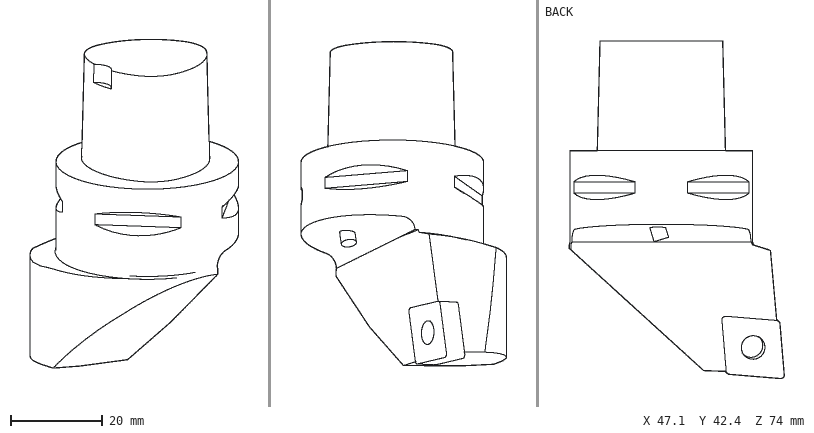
import cadquery as cq
import math


shank_length = 24.05
lobe_radius = 9.2
side_radius = 18.95
lobe_offset = (side_radius - lobe_radius) / math.sqrt(3)
taper_per_side = 1 / 40
notch_radius = 4.0
notch_depth = 4.15
notch_axis_y = -15.0

flange_radius = 40.0 / 2
flange_height = 20.05
slot_floor_radius = 17.6
slot_floor_width = 2.45
slot_mid_z = -8.1
slot_side_slope = 0.6

collar_radius = 20.2
collar_drop = 0.6
collar_mid_angle = -20.0
shoulder_slope = 0.32
back_y = 4.1
wall_y = -22.35
wall_points = {
    "collar_end": (12.6, -15.8),
    "right_mid": (5.2, -20.65),
    "front_right": (-3.25, wall_y),
    "front_left": (-9.4, wall_y),
    "corner_end": (-13.25, -21.4),
    "left_mid": (-19.7, -17.2),
    "left_end": (-25.2, -10.2),
}
head_reach = 33.3
head_bottom = -55.5

flank_points = [(-23.9, 2.75, -21.75), (-22.4, -14.05, -22.6), (-25.2, -10.2, -47.4)]
bottom_corner = flank_points[2]
inner_bottom_slopes = (0.05, -0.13)
outer_bottom_slopes = (0.04, -0.19)
chamfer_start = (20.2, 0.0, -21.4)
chamfer_slope = 0.91
rake_slope_x = 0.1
rake_slope_z = 0.09

underside_edge_z = -16.1
underside_slope = 0.08
clearance_fillet = 2.95

nozzle_diameter = 3.3
nozzle_y = 10.6
nozzle_end_z = -19.45
nozzle_length = 6.65
nozzle_tilt = 17.0

insert_tip_x = -27.0
insert_tip_z = -50.0
insert_edge = 12.9
insert_half_angle = 40.0
insert_thickness = 4.7
insert_corner_radius = 0.8
insert_hole_diameter = 5.2

cutter_size = 148.0
cutter_margin = 0.75


def half_space(point, normal):
    """Large block lying on the normal's side of a plane."""
    plane = cq.Plane(origin=point, normal=normal)
    return cq.Workplane(plane).rect(cutter_size, cutter_size).extrude(cutter_size)


def polar(radius, angle, center=(0.0, 0.0)):
    a = math.radians(angle)
    return (center[0] + radius * math.cos(a), center[1] + radius * math.sin(a))


def lobed_wire(z, inset):
    """Curve of constant width: three lobe arcs joined by tangent side arcs."""
    lobe_r = lobe_radius - inset
    side_r = side_radius - inset
    outline = cq.Workplane("XY", origin=(0, 0, z))
    outline = outline.moveTo(*polar(lobe_r, 60, polar(lobe_offset, 90)))
    for direction in (90, 210, 330):
        lobe_center = polar(lobe_offset, direction)
        opposite_center = polar(lobe_offset, direction + 240)
        outline = outline.threePointArc(
            polar(lobe_r, direction, lobe_center), polar(lobe_r, direction + 30, lobe_center)
        )
        outline = outline.threePointArc(
            polar(side_r, direction + 60, opposite_center), polar(side_r, direction + 90, opposite_center)
        )
    return outline.close().val()


def make_shank():
    base = lobed_wire(0, 0)
    top = lobed_wire(shank_length, shank_length * taper_per_side)
    shank = cq.Workplane(cq.Solid.makeLoft([base, top], True))
    notch = (
        cq.Workplane("XY", origin=(0, notch_axis_y, shank_length - notch_depth))
        .circle(notch_radius)
        .extrude(notch_depth)
    )
    return shank.cut(notch)


def gripper_slot(angle):
    """Straight slot with a flat floor and sloping sides, facing the given direction."""
    floor_half = slot_floor_width / 2
    outer_radius = flange_radius + cutter_margin
    mouth_half = floor_half + slot_side_slope * (outer_radius - slot_floor_radius)
    return (
        cq.Workplane("XZ")
        .polyline([
            (slot_floor_radius, slot_mid_z - floor_half),
            (outer_radius, slot_mid_z - mouth_half),
            (outer_radius, slot_mid_z + mouth_half),
            (slot_floor_radius, slot_mid_z + floor_half),
        ])
        .close()
        .extrude(flange_radius, both=True)
        .rotate((0, 0, 0), (0, 0, 1), angle)
    )


def make_flange():
    flange = cq.Workplane("XY").circle(flange_radius).extrude(-flange_height)
    for angle in (45, 135, 225, 315):
        flange = flange.cut(gripper_slot(angle))
    return flange


def head_blank():
    """Upright wall of the head under a flared collar and a conical shoulder."""
    p = wall_points
    collar_back_x = math.sqrt(collar_radius**2 - back_y**2)
    wall = (
        cq.Workplane("XY", origin=(0, 0, -flange_height))
        .moveTo(collar_back_x, back_y)
        .threePointArc(polar(collar_radius, collar_mid_angle), p["collar_end"])
        .threePointArc(p["right_mid"], p["front_right"])
        .lineTo(*p["front_left"])
        .lineTo(*p["corner_end"])
        .threePointArc(p["left_mid"], p["left_end"])
        .lineTo(-head_reach, 0)
        .lineTo(-head_reach, back_y)
        .close()
        .extrude(head_bottom + flange_height)
    )
    collar_z = -flange_height - collar_drop
    rim_radius = head_reach + back_y + cutter_margin
    shoulder = (
        cq.Workplane("XZ")
        .polyline([
            (0, -flange_height),
            (flange_radius, -flange_height),
            (collar_radius, collar_z),
            (rim_radius, collar_z - shoulder_slope * (rim_radius - collar_radius)),
            (rim_radius, head_bottom),
            (0, head_bottom),
        ])
        .close()
        .revolve(360, (0, 0, 0), (0, 1, 0))
    )
    return wall.intersect(shoulder)


def rake_y(x, z):
    """Y of the rake plane, which passes through the upper rear corner of the flank."""
    corner = flank_points[0]
    return corner[1] + rake_slope_x * (x - corner[0]) + rake_slope_z * (z - corner[2])


rake_normal = cq.Vector(-rake_slope_x, 1, -rake_slope_z)
insert_origin = (insert_tip_x, rake_y(insert_tip_x, insert_tip_z), insert_tip_z)


def make_head():
    upper_rear, upper_front, lower_front = [cq.Vector(*p) for p in flank_points]
    flank_normal = (lower_front - upper_rear).cross(upper_front - upper_rear)
    head = head_blank()
    head = head.cut(half_space(flank_points[0], flank_normal))
    head = head.cut(half_space(flank_points[0], rake_normal))
    for slope_x, slope_y in (inner_bottom_slopes, outer_bottom_slopes):
        head = head.cut(half_space(bottom_corner, (slope_x, slope_y, -1)))
    return head.cut(half_space(chamfer_start, (chamfer_slope, 0, -1)))


def rear_clearance():
    """Space behind the head, rounded where it meets the underside of the flange."""
    rear_y = flange_radius + cutter_margin
    return (
        cq.Workplane("YZ")
        .polyline([
            (back_y, head_bottom),
            (rear_y, head_bottom),
            (rear_y, underside_edge_z + underside_slope * (rear_y - flange_radius)),
            (back_y, underside_edge_z - underside_slope * (flange_radius - back_y)),
        ])
        .close()
        .extrude(cutter_size / 2, both=True)
        .edges("|X")
        .edges("<Y")
        .edges(">Z")
        .fillet(clearance_fillet)
    )


def make_nozzle():
    """Coolant nozzle leaning towards the insert."""
    tilt = math.radians(nozzle_tilt)
    plane = cq.Plane(
        origin=(0, nozzle_y, nozzle_end_z), xDir=(0, 1, 0), normal=(math.sin(tilt), 0, math.cos(tilt))
    )
    return cq.Workplane(plane).circle(nozzle_diameter / 2).extrude(nozzle_length)


def insert_blank():
    """Rhombus lying flush in the rake plane, its acute corner at the tip."""
    diagonal = (1, rake_slope_x + rake_slope_z, 1)
    plane = cq.Plane(origin=insert_origin, xDir=diagonal, normal=rake_normal)
    half_long, half_short = polar(insert_edge, insert_half_angle)
    return (
        cq.Workplane(plane)
        .polyline([(0, 0), (half_long, -half_short), (2 * half_long, 0), (half_long, half_short)])
        .close()
        .extrude(-insert_thickness)
        .edges(cq.selectors.ParallelDirSelector(rake_normal))
        .fillet(insert_corner_radius)
    )


def make_insert():
    blank = insert_blank()
    return blank.faces(cq.selectors.DirectionMinMaxSelector(rake_normal)).workplane(
        centerOption="CenterOfMass"
    ).hole(insert_hole_diameter)


def make_holder():
    holder = make_flange().union(make_head()).cut(rear_clearance())
    holder = holder.union(make_shank()).union(make_nozzle())
    return holder.cut(insert_blank())


holder = make_holder()
insert = make_insert()
result = cq.Compound.makeCompound([holder.solids().val(), insert.solids().val()])